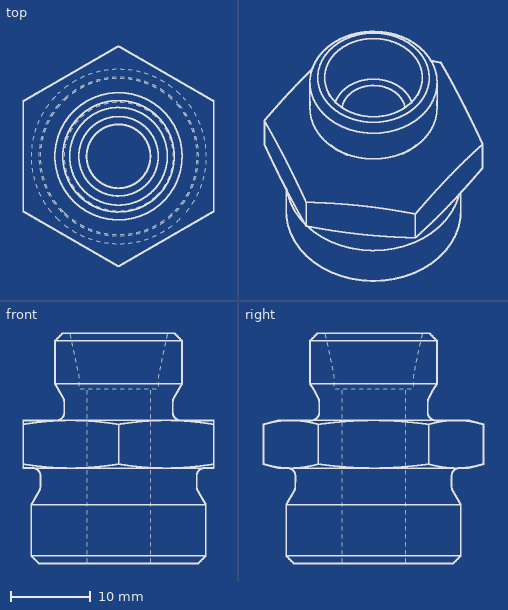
import cadquery as cq
import math

total_height = 29.0
hex_bottom = 12.0
hex_top = 18.0

across_flats = 24.0
hex_chamfer_angle = 15.0

lower_radius = 22.0 / 2
lower_neck_radius = 19.7 / 2
lower_shoulder = 7.4

upper_radius = 16.0 / 2
upper_neck_radius = 13.7 / 2
upper_shoulder = 22.62

end_chamfer = 1.0
neck_fillet = 1.0
shoulder_angle = 30.0

bore_radius = 8.0 / 2
socket_radius = 10.0 / 2
seat_mouth_radius = 12.3 / 2
seat_half_angle = 12.0
socket_depth = 7.0


def turned_body():
    """Both threaded spigots and their necks, revolved about Z."""
    slope = math.tan(math.radians(shoulder_angle))
    lower_cone_top = lower_shoulder + (lower_radius - lower_neck_radius) / slope
    upper_cone_bottom = upper_shoulder - (upper_radius - upper_neck_radius) / slope
    arc_offset = neck_fillet * (1 - math.sqrt(0.5))
    profile = (
        cq.Workplane("XZ")
        .lineTo(lower_radius - end_chamfer, 0)
        .lineTo(lower_radius, end_chamfer)
        .lineTo(lower_radius, lower_shoulder)
        .lineTo(lower_neck_radius, lower_cone_top)
        .lineTo(lower_neck_radius, hex_bottom - neck_fillet)
        .threePointArc(
            (lower_neck_radius + arc_offset, hex_bottom - arc_offset),
            (lower_neck_radius + neck_fillet, hex_bottom),
        )
        .lineTo(upper_neck_radius + neck_fillet, hex_top)
        .threePointArc(
            (upper_neck_radius + arc_offset, hex_top + arc_offset),
            (upper_neck_radius, hex_top + neck_fillet),
        )
        .lineTo(upper_neck_radius, upper_cone_bottom)
        .lineTo(upper_radius, upper_shoulder)
        .lineTo(upper_radius, total_height - end_chamfer)
        .lineTo(upper_radius - end_chamfer, total_height)
        .lineTo(0, total_height)
        .close()
    )
    body = profile.revolve(360, (0, 0), (0, 1))
    for corner_height in (lower_cone_top, upper_cone_bottom):
        corner = cq.selectors.NearestToPointSelector((0, 0, corner_height))
        body = body.edges(corner).fillet(neck_fillet)
    return body


def hexagon():
    """Hexagon with two flats facing X and corners chamfered at both ends."""
    flat_radius = across_flats / 2
    corner_radius = flat_radius / math.cos(math.pi / 6)
    drop = (corner_radius - flat_radius) * math.tan(math.radians(hex_chamfer_angle))
    prism = (
        cq.Workplane("XY", origin=(0, 0, hex_bottom))
        .polygon(6, 2 * corner_radius)
        .extrude(hex_top - hex_bottom)
        .rotate((0, 0, 0), (0, 0, 1), 30)
    )
    envelope = (
        cq.Workplane("XZ")
        .polyline([
            (0, hex_bottom),
            (flat_radius, hex_bottom),
            (corner_radius, hex_bottom + drop),
            (corner_radius, hex_top - drop),
            (flat_radius, hex_top),
            (0, hex_top),
        ])
        .close()
        .revolve(360, (0, 0), (0, 1))
    )
    return prism.intersect(envelope)


def bore():
    """Through bore opening into a tube socket with a tapered mouth at the upper end."""
    socket_floor = total_height - socket_depth
    seat_depth = (seat_mouth_radius - socket_radius) / math.tan(math.radians(seat_half_angle))
    return (
        cq.Workplane("XZ")
        .polyline([
            (0, 0),
            (bore_radius, 0),
            (bore_radius, socket_floor),
            (socket_radius, socket_floor),
            (socket_radius, total_height - seat_depth),
            (seat_mouth_radius, total_height),
            (0, total_height),
        ])
        .close()
        .revolve(360, (0, 0), (0, 1))
    )


result = turned_body().union(hexagon()).cut(bore())